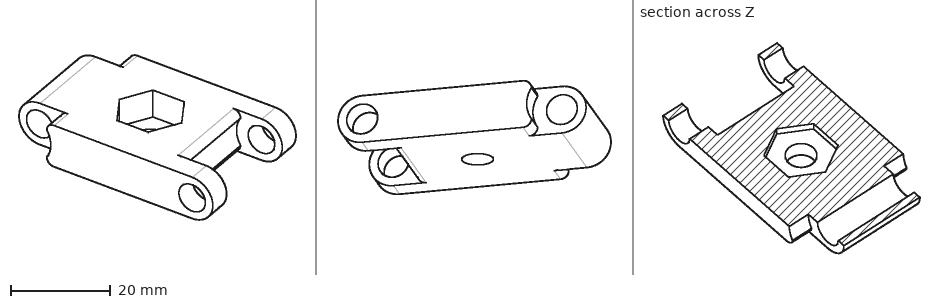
import cadquery as cq
import math

length = 50.0
width = 30.0
thickness = 10.0

hinge_radius = thickness / 2
pin_diameter = 6.35
pin_x = length / 2 - hinge_radius
barrel_width = 20.0
arm_width = (width - barrel_width) / 2

relief_radius = hinge_radius + 1.0
lip_x = pin_x - hinge_radius
lip_radius = 1.75

nut_across_corners = 15.0
nut_pocket_depth = 6.5
bolt_diameter = 6.35


def shoulder_clearance():
    """Outline of everything beyond a +X shoulder whose top and bottom corners are rounded."""
    top = thickness / 2
    round_x = lip_x - lip_radius
    round_z = top - lip_radius
    diagonal = lip_radius * math.sqrt(0.5)
    mid_x = round_x + diagonal
    mid_z = round_z + diagonal
    return (
        cq.Workplane("XZ")
        .moveTo(round_x, top)
        .threePointArc((mid_x, mid_z), (lip_x, round_z))
        .lineTo(lip_x, -round_z)
        .threePointArc((mid_x, -mid_z), (round_x, -top))
        .lineTo(length / 2, -top)
        .lineTo(length / 2, top)
        .close()
    )


def relief(relief_width, center_y):
    """Relief cutter at the +X end: rounded shoulder plus a concave swing clearance about the pin."""
    shoulder = shoulder_clearance().extrude(relief_width / 2, both=True)
    swing = (
        cq.Workplane("XZ")
        .center(pin_x, 0)
        .circle(relief_radius)
        .extrude(relief_width / 2, both=True)
    )
    return shoulder.union(swing).translate((0, center_y, 0))


def link_blank():
    """Full-width bar with round ends, bored for both hinge pins."""
    blank = cq.Workplane("XZ").slot2D(length, thickness).extrude(width / 2, both=True)
    bores = (
        cq.Workplane("XZ")
        .pushPoints([(-pin_x, 0), (pin_x, 0)])
        .circle(pin_diameter / 2)
        .extrude(width / 2, both=True)
    )
    return blank.cut(bores)


def cut_fork(body):
    """Open the gap between the two arms at the +X end."""
    return body.cut(relief(barrel_width, 0))


def cut_shoulders(body):
    """Narrow the -X end to the barrel, leaving a relieved shoulder on each side."""
    for side in (-1, 1):
        center_y = side * (width - arm_width) / 2
        body = body.cut(relief(arm_width, center_y).mirror("YZ"))
    return body


def cut_nut_pocket(body):
    """Hexagonal pocket from the top with a bolt hole through its floor."""
    pocket = (
        cq.Workplane("XY", origin=(0, 0, thickness / 2))
        .polygon(6, nut_across_corners)
        .extrude(-nut_pocket_depth)
    )
    bolt_hole = cq.Workplane("XY").circle(bolt_diameter / 2).extrude(thickness / 2, both=True)
    return body.cut(pocket).cut(bolt_hole)


result = cut_nut_pocket(cut_shoulders(cut_fork(link_blank())))